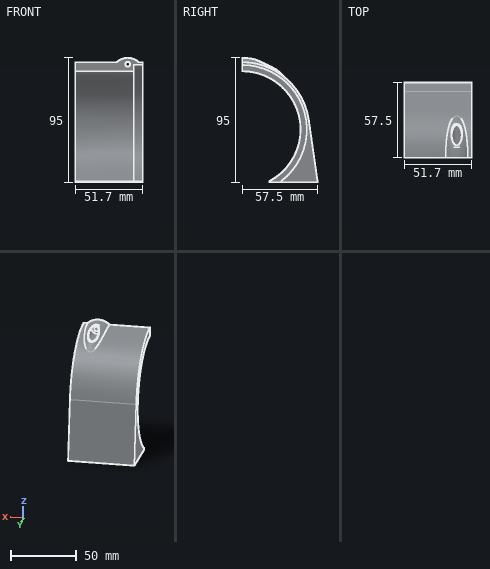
import cadquery as cq
import math

length = 51.7
foot_depth = 57.5
height = 94.95

axis_height = 40.3
outer_radius = 51.3
inner_radius = 44.3
toe_height = 1.0

rebate_start = 44.6
rebate_radius = 49.2

bump_x = 40.1
nose_radius = 12.2
crest_radius = 42.35
bump_axis_height = height - crest_radius

hole_height = 90.0
hole_diameter = 3.5
recess_diameter = 7.4
recess_start = 8.0
rim_chamfer = 0.6


def along_x(start, end, radius, axis_z):
    """Solid cylinder parallel to X, centred at Y = 0 and the given height."""
    return (
        cq.Workplane("YZ", origin=(start, 0, axis_z))
        .circle(radius)
        .extrude(end - start)
    )


def bore_toe(radius):
    """Y position where a bore of this radius reaches the toe height."""
    return math.sqrt(radius**2 - (axis_height - toe_height) ** 2)


def make_section(start, end, bore_radius):
    """Shell and foot between two X positions, for one bore radius."""
    heel_distance = math.hypot(foot_depth, axis_height)
    heel_angle = math.atan2(-axis_height, foot_depth)
    tangent_angle = heel_angle + math.acos(outer_radius / heel_distance)
    middle_angle = (tangent_angle + math.pi / 2) / 2

    def on_circle(radius, angle):
        return (radius * math.cos(angle), axis_height + radius * math.sin(angle))

    toe_y = bore_toe(bore_radius)
    return (
        cq.Workplane("YZ", origin=(start, 0, 0))
        .moveTo(toe_y, 0)
        .lineTo(foot_depth, 0)
        .lineTo(*on_circle(outer_radius, tangent_angle))
        .threePointArc(on_circle(outer_radius, middle_angle), (0, axis_height + outer_radius))
        .lineTo(0, axis_height + bore_radius)
        .threePointArc(on_circle(bore_radius, 0), (toe_y, toe_height))
        .close()
        .extrude(end - start)
    )


def make_bump():
    """Rounded nose, cut back so it only stands on the shell."""
    nose_z = height - nose_radius
    nose = (
        cq.Workplane("XZ", origin=(bump_x, 0, 0))
        .moveTo(-nose_radius, nose_z)
        .threePointArc((0, height), (nose_radius, nose_z))
        .close()
        .revolve(90, (0, bump_axis_height), (-1, bump_axis_height))
    )
    shell_core = along_x(0, length + nose_radius, (rebate_radius + outer_radius) / 2, axis_height)
    return nose.cut(shell_core)


def along_y(start, end, diameter):
    """Solid cylinder parallel to Y on the axis of the hole."""
    return (
        cq.Workplane("XZ", origin=(bump_x, start, hole_height))
        .circle(diameter / 2)
        .extrude(start - end)
    )


bump = make_bump()
body = make_section(0, rebate_start, inner_radius)
body = body.union(make_section(rebate_start, length, rebate_radius))
body = body.union(bump)
body = body.cut(along_y(0, foot_depth, hole_diameter))
body = body.cut(along_y(recess_start, foot_depth, recess_diameter))

rim_zone = cq.selectors.BoxSelector(
    (bump_x - recess_diameter, recess_start + rim_chamfer, hole_height - recess_diameter),
    (bump_x + recess_diameter, crest_radius, height),
    boundingbox=True,
)
result = body.edges(rim_zone).chamfer(rim_chamfer)